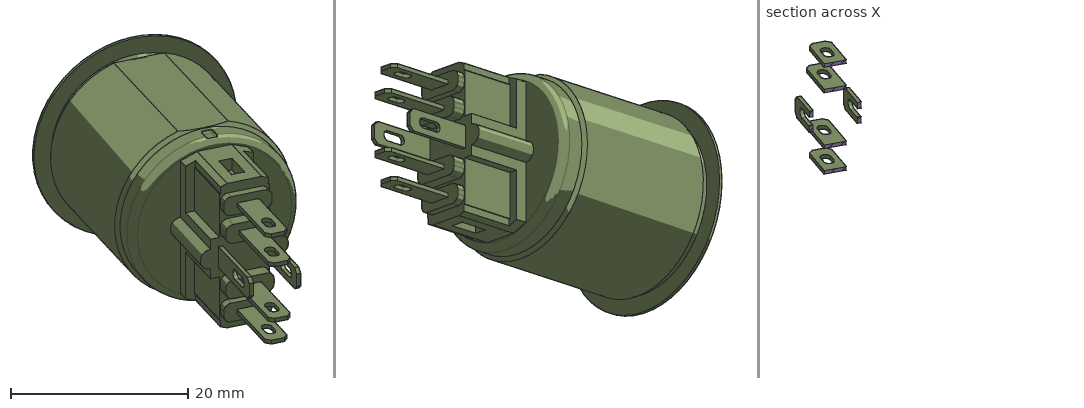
import cadquery as cq
RIM_START = 1.35
RIM_END = 1.75
NECK_END = 2.75
BODY_END = 20.8
BODY_TAPER_END = 21.2
RING_END = 24.0
POCKET_START = 25.45
BLOCK_END = 32.46
TOTAL_LENGTH = 42.8

FACE_RADIUS = 10.0
RIM_RADIUS = 12.5
NECK_RADIUS = 10.4
BODY_RADIUS = 10.9
RING_FILLET = 0.9
FLAT_HEIGHT = 10.45
INLAY_RADII = (9.0, 7.0)
INLAY_DEPTH = 0.5

NOTCH_START = 21.75
NOTCH_END = 23.5
NOTCH_WIDTH = 1.4
NOTCH_DEPTH = 0.35
NOTCH_CORNER_RADIUS = 0.25
NOTCH_FLOOR_FILLET = 0.2

BLOCK_HALF_WIDTH = 4.18
BLOCK_HALF_HEIGHT = 9.22
BLOCK_TOP_HALF_WIDTH = 2.13
BLOCK_SHOULDER_HEIGHT = 8.45
WEB_HALF_WIDTH = 2.96
RIB_HALF_HEIGHT = 2.52
PANEL_HALF_HEIGHT = 8.07
PANEL_RAISE = 0.1
PIN_RADIUS = 1.25

LATCH_START = 27.1
LATCH_RAMP_START = 28.77
LATCH_RAMP_END = 30.2
LATCH_END = 30.7
LATCH_WIDTH = 1.6
LATCH_DEEP = 1.5
LATCH_SHALLOW = 0.5

TERMINAL_WIDTH = 2.7
TERMINAL_THICKNESS = 0.5
TERMINAL_CHAMFER = 0.55
SLOT_WIDTH = 1.2
SLOT_TIP_MARGIN = 1.5
COLLARED_SLOT_LENGTH = 2.25
COLLAR_WIDTH = 5.96
COLLAR_THICKNESS = 2.4
COLLAR_CORNER_RADIUS = 1.85 / 2

OUTER_TERMINAL_Z = 6.79
OUTER_TERMINAL_TIP = 41.85
OUTER_COLLAR_END = 33.45

INNER_TERMINAL_Z = 3.54
INNER_TERMINAL_TIP = TOTAL_LENGTH
INNER_COLLAR_END = 34.05

SIDE_TERMINAL_Y = 2.92
SIDE_TERMINAL_TIP = 41.08
SIDE_SLOT_LENGTH = 3.15

OVERLAP = 1.0


def box(x_range, y_range, z_range):
    """Axis-aligned box between the given limits."""
    size = [high - low for low, high in (x_range, y_range, z_range)]
    corner = (x_range[0], y_range[0], z_range[0])
    return cq.Workplane("XY").box(*size, centered=False).translate(corner)


def make_button_body():
    """Turned rim, neck, body and rear ring, with one flat along the top of the body."""
    profile = (
        cq.Workplane("XY")
        .moveTo(0, 0)
        .lineTo(0, FACE_RADIUS)
        .lineTo(RIM_START, RIM_RADIUS)
        .lineTo(RIM_END, RIM_RADIUS)
        .lineTo(RIM_END, NECK_RADIUS)
        .lineTo(NECK_END, NECK_RADIUS)
        .lineTo(NECK_END, BODY_RADIUS)
        .lineTo(BODY_END, BODY_RADIUS)
        .lineTo(BODY_TAPER_END, NECK_RADIUS)
        .lineTo(RING_END - RING_FILLET, NECK_RADIUS)
        .radiusArc((RING_END, NECK_RADIUS - RING_FILLET), RING_FILLET)
        .lineTo(RING_END, 0)
        .close()
    )
    body = profile.revolve(360, (0, 0, 0), (1, 0, 0))
    above_flat = box(
        (NECK_END, BODY_TAPER_END),
        (-BODY_RADIUS, BODY_RADIUS),
        (FLAT_HEIGHT, BODY_RADIUS + OVERLAP),
    )
    return body.cut(above_flat)


def make_index_notch():
    """Shallow notch in the top of the rear ring, rounded at its corners and along its floor."""
    notch = box(
        (NOTCH_START, NOTCH_END),
        (-NOTCH_WIDTH / 2, NOTCH_WIDTH / 2),
        (NECK_RADIUS - NOTCH_DEPTH, NECK_RADIUS + OVERLAP),
    )
    notch = notch.edges("|Z").fillet(NOTCH_CORNER_RADIUS)
    return notch.faces("<Z").edges().fillet(NOTCH_FLOOR_FILLET)


def make_block():
    """Connector block with sloped shoulders, side pockets with raised panels, and two round pins."""
    outline = [
        (BLOCK_HALF_WIDTH, BLOCK_SHOULDER_HEIGHT),
        (BLOCK_TOP_HALF_WIDTH, BLOCK_HALF_HEIGHT),
        (-BLOCK_TOP_HALF_WIDTH, BLOCK_HALF_HEIGHT),
        (-BLOCK_HALF_WIDTH, BLOCK_SHOULDER_HEIGHT),
        (-BLOCK_HALF_WIDTH, -BLOCK_SHOULDER_HEIGHT),
        (-BLOCK_TOP_HALF_WIDTH, -BLOCK_HALF_HEIGHT),
        (BLOCK_TOP_HALF_WIDTH, -BLOCK_HALF_HEIGHT),
        (BLOCK_HALF_WIDTH, -BLOCK_SHOULDER_HEIGHT),
    ]
    start = RING_END - OVERLAP
    length = BLOCK_END - start
    block_plane = cq.Workplane("YZ", origin=(start, 0, 0))
    block = block_plane.polyline(outline).close().extrude(length)
    pocket = box(
        (POCKET_START, BLOCK_END),
        (WEB_HALF_WIDTH, BLOCK_HALF_WIDTH),
        (RIB_HALF_HEIGHT, BLOCK_HALF_HEIGHT),
    )
    raised_panel = box(
        (POCKET_START, BLOCK_END),
        (WEB_HALF_WIDTH, WEB_HALF_WIDTH + PANEL_RAISE),
        (RIB_HALF_HEIGHT, PANEL_HALF_HEIGHT),
    )
    pocket = pocket.cut(raised_panel)
    pockets = pocket.union(pocket.mirror("XY"))
    pockets = pockets.union(pockets.mirror("XZ"))
    block = block.cut(pockets)
    pin_centers = [(BLOCK_HALF_WIDTH, 0), (-BLOCK_HALF_WIDTH, 0)]
    pins = block_plane.pushPoints(pin_centers).circle(PIN_RADIUS).extrude(length)
    return block.union(pins)


def make_latch_window():
    """Latch recess in the top of the block, with a ramp rising toward the rear."""
    deep_floor = BLOCK_HALF_HEIGHT - LATCH_DEEP
    shallow_floor = BLOCK_HALF_HEIGHT - LATCH_SHALLOW
    side_profile = [
        (LATCH_START, BLOCK_HALF_HEIGHT),
        (LATCH_START, deep_floor),
        (LATCH_RAMP_START, deep_floor),
        (LATCH_RAMP_END, shallow_floor),
        (LATCH_END, shallow_floor),
        (LATCH_END, BLOCK_HALF_HEIGHT),
    ]
    return cq.Workplane("XZ").polyline(side_profile).close().extrude(LATCH_WIDTH / 2, both=True)


def make_terminal(tip, slot_length):
    """Flat terminal on the XY plane, with chamfered tip corners and a slotted eye."""
    start = BLOCK_END - OVERLAP
    blade = box(
        (start, tip),
        (-TERMINAL_WIDTH / 2, TERMINAL_WIDTH / 2),
        (-TERMINAL_THICKNESS / 2, TERMINAL_THICKNESS / 2),
    )
    blade = blade.faces(">X").edges("|Z").chamfer(TERMINAL_CHAMFER)
    slot_center = tip - SLOT_TIP_MARGIN - slot_length / 2
    eye = (
        cq.Workplane("XY")
        .center(slot_center, 0)
        .slot2D(slot_length, SLOT_WIDTH)
        .extrude(TERMINAL_THICKNESS, both=True)
    )
    return blade.cut(eye)


def make_collared_terminal(height, tip, collar_end):
    """Terminal lying flat at the given height, with a rounded collar at its root."""
    blade = make_terminal(tip, COLLARED_SLOT_LENGTH)
    collar = (
        cq.Workplane("YZ", origin=(BLOCK_END, 0, height))
        .rect(COLLAR_WIDTH, COLLAR_THICKNESS)
        .extrude(collar_end - BLOCK_END)
        .edges("|X")
        .fillet(COLLAR_CORNER_RADIUS)
    )
    return collar.union(blade.translate((0, 0, height)))


def make_side_terminal(side_y):
    """Terminal standing on edge at the given Y position."""
    upright = make_terminal(SIDE_TERMINAL_TIP, SIDE_SLOT_LENGTH).rotate((0, 0, 0), (1, 0, 0), 90)
    return upright.translate((0, side_y, 0))


result = make_button_body().cut(make_index_notch()).union(make_block())

latch_window = make_latch_window()
result = result.cut(latch_window).cut(latch_window.mirror("XY"))

for side in (1, -1):
    outer_terminal = make_collared_terminal(
        side * OUTER_TERMINAL_Z, OUTER_TERMINAL_TIP, OUTER_COLLAR_END
    )
    inner_terminal = make_collared_terminal(
        side * INNER_TERMINAL_Z, INNER_TERMINAL_TIP, INNER_COLLAR_END
    )
    side_terminal = make_side_terminal(side * SIDE_TERMINAL_Y)
    result = result.union(outer_terminal).union(inner_terminal).union(side_terminal)

for radius in INLAY_RADII:
    inlay = cq.Workplane("YZ").circle(radius).extrude(INLAY_DEPTH)
    result = result.union(inlay, clean=False)